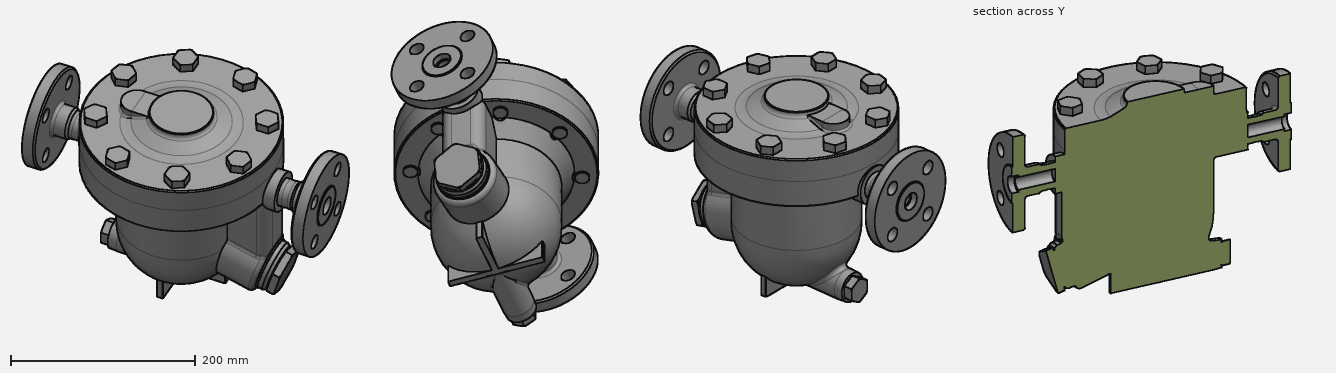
import cadquery as cq
import math


top_z = 69.3
bottom_z = -159.6

flange_radius = 222 / 2
flange_chamfer = 1.5
cover_face_z = 54.3
joint_z = 27
flange_bottom_z = -5.7
flare_top_radius = 85
flare_bottom_z = -25.4
bowl_radius = 71
bowl_spring_z = -83.8

dome_outer_radius = 67
dome_bend_radius = 55
dome_bend_z = 56
dome_inner_radius = 38.6
dome_inner_z = 62.6
pad_radius = 70 / 2
pad_chamfer = 0.8
tongue_width = 35
tongue_end_x = -70.7
tongue_top_z = 64.6
tongue_fillet = 2.5
tongue_margin = 0.15
tongue_sides_x = -51.7
dome_slope = math.atan2(dome_inner_z - dome_bend_z, dome_bend_radius - dome_inner_radius)
apex_z = dome_inner_z + dome_inner_radius * math.tan(dome_slope)
tongue_block_height = apex_z + tongue_width - joint_z

bolt_count = 8
bolt_circle_radius = 93.2
bolt_across_flats = 24
bolt_head_height = 10
bolt_diameter = 16
bolt_tip_z = -8
spot_face_diameter = 21
spot_face_reach = 8
bolt_head_chamfer = 0.8

inlet_boss_x = -112.5
outlet_boss_x = 122.5
boss_radius = 46 / 2
pipe_radius = 32 / 2
groove_start = 5
groove_end = 12
groove_depth = 0.4
taper_start = 16
taper_end = 19
hub_radius = 36 / 2
hub_fillet = 3.5
flange_back = 36.3
flange_front = 51.4
pipe_end = 52.5
pipe_flange_radius = 117 / 2
pipe_flange_chamfer = 2
raised_face_radius = 46 / 2
raised_face_edge = 1.1
flange_hole_diameter = 16
flange_hole_circle = 82.6
flange_hole_count = 4
socket_diameter = 20
socket_depth = 8
bore_diameter = 15
bore_depth = 52.5

foot_reach = 54.6
foot_thickness = 7.5
foot_top_z = -133.5
foot_edge = 0.8

drain_radius = 36 / 2
drain_z = bottom_z + drain_radius
drain_end_x = -80.4
drain_taper_x = -70
drain_end_radius = 17.3
drain_fillet = 4.5
drain_fillet_bottom_z = drain_z - 0.7 * drain_radius
drain_plug_across_flats = 26
drain_plug_length = 10.4
drain_plug_chamfer = 1

strainer_tilt = 15
strainer_x = 95
strainer_z = -108.9
strainer_radius = 36
strainer_root = -60
strainer_end = 10.6
strainer_edge_fillet = 5.8
seat_radius = 30
seat_end = 12.8
collar_radius = 58 / 2
collar_end = 22.4
collar_chamfer_length = 4.1
collar_chamfer_depth = 2
neck_radius = 49.5 / 2
neck_length = 0.8
strainer_plug_across_flats = 50
strainer_plug_end = 32.4
strainer_plug_chamfer = 1.6

passage_half_width = 24.2
passage_end_x = 114.7
passage_corner_radius = 13.2
passage_top_z = -2
passage_fillet = 6


def hex_head(across_flats, height, chamfer, both_ends):
    """Hexagon along +Z from z = 0 with corners turned off conically; one corner points to +X."""
    corner_radius = across_flats / math.sqrt(3)
    head = cq.Workplane("XY").polygon(6, 2 * corner_radius).extrude(height)
    rounding = cq.Workplane("XY").circle(corner_radius).extrude(height)
    slope = math.tan(math.radians(30))
    rounding = rounding.faces(">Z").chamfer(chamfer * slope, chamfer)
    if both_ends:
        rounding = rounding.faces("<Z").chamfer(chamfer * slope, chamfer)
    return head.intersect(rounding)


def make_bowl():
    """Turned body: flange, flare cut by the bolt spot faces, cylinder and spherical bottom."""
    depth = bowl_spring_z - bottom_z
    sphere_radius = (bowl_radius**2 + depth**2) / (2 * depth)
    sphere_z = bottom_z + sphere_radius
    mid_angle = (math.pi / 2 + math.asin((sphere_z - bowl_spring_z) / sphere_radius)) / 2
    arc_middle = (sphere_radius * math.cos(mid_angle), sphere_z - sphere_radius * math.sin(mid_angle))
    bowl = (
        cq.Workplane("XZ")
        .moveTo(0, joint_z)
        .lineTo(flange_radius, joint_z)
        .lineTo(flange_radius, flange_bottom_z + flange_chamfer)
        .lineTo(flange_radius - flange_chamfer, flange_bottom_z)
        .lineTo(flare_top_radius, flange_bottom_z)
        .lineTo(bowl_radius, flare_bottom_z)
        .lineTo(bowl_radius, bowl_spring_z)
        .threePointArc(arc_middle, (0, bottom_z))
        .close()
        .revolve(360, (0, 0, 0), (0, 1, 0))
    )
    spot_faces = (
        cq.Workplane("XY", origin=(0, 0, flange_bottom_z))
        .polarArray(bolt_circle_radius, 180 / bolt_count, 360, bolt_count)
        .circle(spot_face_diameter / 2)
        .extrude(-spot_face_reach)
    )
    return bowl.cut(spot_faces)


def make_cover():
    """Cover disc with its conical dome and centre pad."""
    pad_fillet = (dome_inner_radius - pad_radius) / (1 - math.sin(dome_slope))
    pad_fillet_z = dome_inner_z + pad_fillet * math.cos(dome_slope)
    return (
        cq.Workplane("XZ")
        .moveTo(0, joint_z)
        .lineTo(flange_radius, joint_z)
        .lineTo(flange_radius, cover_face_z - flange_chamfer)
        .lineTo(flange_radius - flange_chamfer, cover_face_z)
        .lineTo(dome_outer_radius, cover_face_z)
        .tangentArcPoint((dome_bend_radius, dome_bend_z), relative=False)
        .lineTo(dome_inner_radius, dome_inner_z)
        .tangentArcPoint((pad_radius, pad_fillet_z), relative=False)
        .lineTo(pad_radius, top_z - pad_chamfer)
        .lineTo(pad_radius - pad_chamfer, top_z)
        .lineTo(0, top_z)
        .close()
        .revolve(360, (0, 0, 0), (0, 1, 0))
    )


def fillet_on_dome(dome, block, edges, outer_x):
    """Join a tall block to a dome, fillet the selected edges and keep the tongue from outer_x to the pad."""
    inner_x = -0.8 * pad_radius
    filleted = dome.union(block).edges(edges).fillet(tongue_fillet)
    limits = (
        cq.Workplane("XY", origin=((outer_x + inner_x) / 2, 0, joint_z))
        .rect(inner_x - outer_x, tongue_width + 2 * tongue_fillet - 2 * tongue_margin)
        .extrude(tongue_top_z - joint_z)
    )
    return filleted.intersect(limits)


def make_tongue_tip():
    """Round-ended tongue towards -X, its end filleted to the curved foot of the dome."""
    dome = (
        cq.Workplane("XZ")
        .moveTo(0, joint_z)
        .lineTo(flange_radius - flange_chamfer, joint_z)
        .lineTo(flange_radius - flange_chamfer, cover_face_z)
        .lineTo(dome_outer_radius, cover_face_z)
        .tangentArcPoint((dome_bend_radius, dome_bend_z), relative=False)
        .lineTo(0, apex_z)
        .close()
        .revolve(360, (0, 0, 0), (0, 1, 0))
    )
    slot = (
        cq.Workplane("XY", origin=(0, 0, joint_z))
        .slot2D(-2 * tongue_end_x, tongue_width)
        .extrude(tongue_block_height)
    )
    tip = cq.selectors.BoxSelector(
        (tongue_end_x - 1, -tongue_width, cover_face_z - 1),
        (tongue_end_x + 3, tongue_width, cover_face_z + 1),
    )
    return fillet_on_dome(dome, slot, tip, tongue_end_x - 2 * tongue_fillet)


def make_tongue_sides():
    """Straight part of the tongue, its sides filleted to the cone of the dome."""
    cone_radius = (apex_z - joint_z) / math.tan(dome_slope)
    cone = (
        cq.Workplane("XZ")
        .polyline([(0, joint_z), (cone_radius, joint_z), (0, apex_z)])
        .close()
        .revolve(360, (0, 0, 0), (0, 1, 0))
    )
    bar = (
        cq.Workplane("XY", origin=(0, 0, joint_z))
        .rect(3 * cone_radius, tongue_width)
        .extrude(tongue_block_height)
    )
    side_curves = cq.selectors.TypeSelector("HYPERBOLA")
    return fillet_on_dome(cone, bar, side_curves, tongue_sides_x)


def make_bolts():
    """Cover bolts; the head at the first place has a corner on +X, the rest turn with the circle."""
    pitch = 360 / bolt_count
    first = (
        hex_head(bolt_across_flats, bolt_head_height, bolt_head_chamfer, False)
        .rotate((0, 0, 0), (0, 0, 1), -pitch / 2)
        .translate((0, 0, cover_face_z))
        .union(
            cq.Workplane("XY", origin=(0, 0, bolt_tip_z))
            .circle(bolt_diameter / 2)
            .extrude(cover_face_z - bolt_tip_z)
        )
        .translate((bolt_circle_radius, 0, 0))
        .rotate((0, 0, 0), (0, 0, 1), pitch / 2)
    )
    bolts = cq.Workplane("XY")
    for i in range(bolt_count):
        bolts = bolts.union(first.rotate((0, 0, 0), (0, 0, 1), i * pitch))
    return bolts


def make_pipe():
    """Welded pipe and flange along +X, with the boss face at x = 0."""
    groove_middle = (groove_start + groove_end) / 2
    pipe = (
        cq.Workplane("XY")
        .moveTo(0, 0)
        .lineTo(0, pipe_radius)
        .lineTo(groove_start, pipe_radius)
        .threePointArc((groove_middle, pipe_radius - groove_depth), (groove_end, pipe_radius))
        .lineTo(taper_start, pipe_radius)
        .lineTo(taper_end, hub_radius)
        .lineTo(flange_back - hub_fillet, hub_radius)
        .tangentArcPoint((flange_back, hub_radius + hub_fillet), relative=False)
        .lineTo(flange_back, pipe_flange_radius - pipe_flange_chamfer)
        .lineTo(flange_back + pipe_flange_chamfer, pipe_flange_radius)
        .lineTo(flange_front, pipe_flange_radius)
        .lineTo(flange_front, raised_face_radius)
        .lineTo(pipe_end, raised_face_radius - raised_face_edge)
        .lineTo(pipe_end, 0)
        .close()
        .revolve(360, (0, 0, 0), (1, 0, 0))
    )
    holes = (
        cq.Workplane("YZ", origin=(flange_back, 0, 0))
        .polarArray(flange_hole_circle / 2, 45, 360, flange_hole_count)
        .circle(flange_hole_diameter / 2)
        .extrude(pipe_end - flange_back)
    )
    return pipe.cut(holes)


def make_bore():
    """Stepped bore that enters make_pipe from its flange face."""
    bore = cq.Workplane("YZ", origin=(pipe_end, 0, 0)).circle(bore_diameter / 2).extrude(-bore_depth)
    socket = cq.Workplane("YZ", origin=(pipe_end, 0, 0)).circle(socket_diameter / 2).extrude(-socket_depth)
    return bore.union(socket)


def at_inlet(shape):
    """Place an outlet-pointing shape at the inlet boss."""
    return shape.rotate((0, 0, 0), (0, 0, 1), 180).translate((inlet_boss_x, 0, 0))


def at_outlet(shape):
    """Place an outlet-pointing shape at the outlet boss."""
    return shape.translate((outlet_boss_x, 0, 0))


def make_bosses():
    """Cylindrical boss that runs through the body from inlet face to outlet face."""
    length = outlet_boss_x - inlet_boss_x
    return cq.Workplane("YZ", origin=(inlet_boss_x, 0, 0)).circle(boss_radius).extrude(length)


def make_feet():
    """Three upright plates under the bowl, towards +X, +Y and -Y."""
    height = foot_top_z - bottom_z
    plate = (
        cq.Workplane("XY", origin=(foot_reach / 2, 0, bottom_z + height / 2))
        .box(foot_reach, foot_thickness, height)
        .faces(">X")
        .edges("|Z")
        .chamfer(foot_edge)
    )
    feet = cq.Workplane("XY")
    for angle in (0, 90, -90):
        feet = feet.union(plate.rotate((0, 0, 0), (0, 0, 1), angle))
    return feet


def make_drain_boss():
    """Horizontal boss from the bowl towards -X, slightly tapered at its end."""
    return (
        cq.Workplane("XZ")
        .moveTo(0, drain_z)
        .lineTo(0, drain_z + drain_radius)
        .lineTo(drain_taper_x, drain_z + drain_radius)
        .lineTo(drain_end_x, drain_z + drain_end_radius)
        .lineTo(drain_end_x, drain_z)
        .close()
        .revolve(360, (0, drain_z, 0), (1, drain_z, 0))
    )


def make_drain_plug():
    """Hexagon plug in the end of the drain boss, flats facing +Y and -Y."""
    return (
        hex_head(drain_plug_across_flats, drain_plug_length, drain_plug_chamfer, True)
        .rotate((0, 0, 0), (0, 1, 0), -90)
        .translate((drain_end_x, 0, drain_z))
    )


def place_strainer(shape):
    """Turn a shape built along +Z onto the tilted strainer axis."""
    return shape.rotate((0, 0, 0), (0, 1, 0), 90 + strainer_tilt).translate((strainer_x, 0, strainer_z))


def make_strainer_branch():
    """Strainer cylinder with a rounded rim, joined by a fillet to the passage above it."""
    length = strainer_end - strainer_root
    cylinder = cq.Workplane("XY", origin=(0, 0, strainer_root)).circle(strainer_radius).extrude(length)
    cylinder = place_strainer(cylinder.faces(">Z").edges().fillet(strainer_edge_fillet))
    passage = (
        cq.Workplane("XY", origin=(passage_end_x / 2, 0, strainer_z))
        .rect(passage_end_x, 2 * passage_half_width)
        .extrude(passage_top_z - strainer_z)
        .edges("|Z and >X")
        .fillet(passage_corner_radius)
    )
    reach = 8 * strainer_radius
    behind_rim = cq.Workplane("XY", origin=(0, 0, strainer_end)).rect(reach, reach).extrude(-reach)
    passage = passage.intersect(place_strainer(behind_rim))
    seam = cq.selectors.BoxSelector(
        (bowl_radius - 1, -strainer_radius, strainer_z + passage_half_width - 1),
        (passage_end_x + 1, strainer_radius, strainer_z + strainer_radius),
    )
    return cylinder.union(passage).edges(seam).fillet(passage_fillet)


def make_strainer_plug():
    """Seat, collar, neck and hexagon that close the strainer branch."""
    seat = cq.Workplane("XY").circle(seat_radius).extrude(seat_end)
    collar = (
        cq.Workplane("XY", origin=(0, 0, strainer_root))
        .circle(collar_radius)
        .extrude(collar_end - strainer_root)
        .faces(">Z")
        .chamfer(collar_chamfer_length, collar_chamfer_depth)
    )
    neck = cq.Workplane("XY", origin=(0, 0, collar_end)).circle(neck_radius).extrude(neck_length)
    hex_start = collar_end + neck_length
    hexagon = hex_head(
        strainer_plug_across_flats, strainer_plug_end - hex_start, strainer_plug_chamfer, True
    ).translate((0, 0, hex_start))
    return place_strainer(seat.union(collar).union(neck).union(hexagon))


def make_body():
    """Bowl and drain boss with a fillet along their seam.

    Boss and bowl touch tangentially at the lowest point, so the fillet stops just above it.
    """
    keep = (
        cq.Workplane("XY", origin=(-flange_radius / 2, 0, drain_fillet_bottom_z))
        .rect(flange_radius, 2 * flange_radius)
        .extrude(flare_bottom_z - drain_fillet_bottom_z)
    )
    blend = make_bowl().union(make_drain_boss()).intersect(keep)
    seam = cq.selectors.BoxSelector(
        (-bowl_radius, -drain_radius, drain_fillet_bottom_z + 1),
        (drain_taper_x / 4, drain_radius, drain_z + drain_radius - 1),
    )
    blend = blend.edges(seam).fillet(drain_fillet)
    return make_bowl().union(make_drain_boss()).union(blend)


result = (
    make_body()
    .union(make_bosses())
    .union(make_strainer_branch())
    .union(make_strainer_plug())
    .union(make_feet())
    .union(make_drain_plug())
    .union(at_inlet(make_pipe()))
    .union(at_outlet(make_pipe()))
    .union(make_cover().union(make_tongue_tip()).union(make_tongue_sides()), clean=False)
    .union(make_bolts(), clean=False)
    .cut(at_inlet(make_bore()), clean=False)
    .cut(at_outlet(make_bore()), clean=False)
)